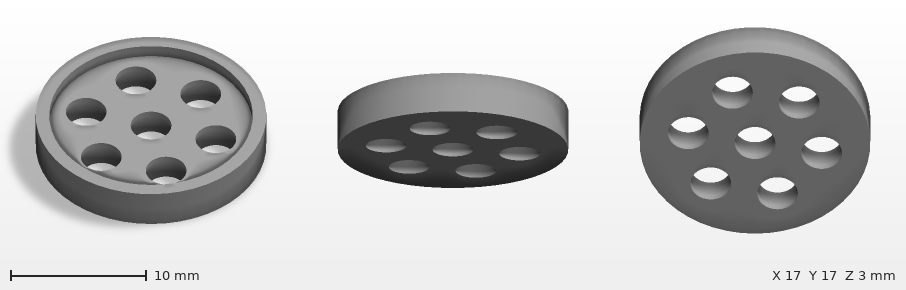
import cadquery as cq

outer_diameter = 17.0
height = 3.0
rim_width = 1.0
recess_depth = 1.0
hole_diameter = 3.0
ring_hole_count = 6
ring_radius = 5.0
first_hole_angle = 90.0

recess_diameter = outer_diameter - 2 * rim_width


def make_disc():
    """Plain round disc standing on the XY plane."""
    return cq.Workplane("XY").circle(outer_diameter / 2).extrude(height)


def cut_recess(body):
    """Shallow round recess in the top face, leaving a raised rim."""
    return body.faces(">Z").workplane().circle(recess_diameter / 2).cutBlind(-recess_depth)


def make_holes():
    """Cutters for the centre hole and the ring of holes around it."""
    hole_radius = hole_diameter / 2
    centre_hole = cq.Workplane("XY").circle(hole_radius).extrude(height)
    ring_holes = (
        cq.Workplane("XY")
        .polarArray(ring_radius, first_hole_angle, 360, ring_hole_count)
        .circle(hole_radius)
        .extrude(height)
    )
    return centre_hole.add(ring_holes).combine()


result = cut_recess(make_disc()).cut(make_holes())